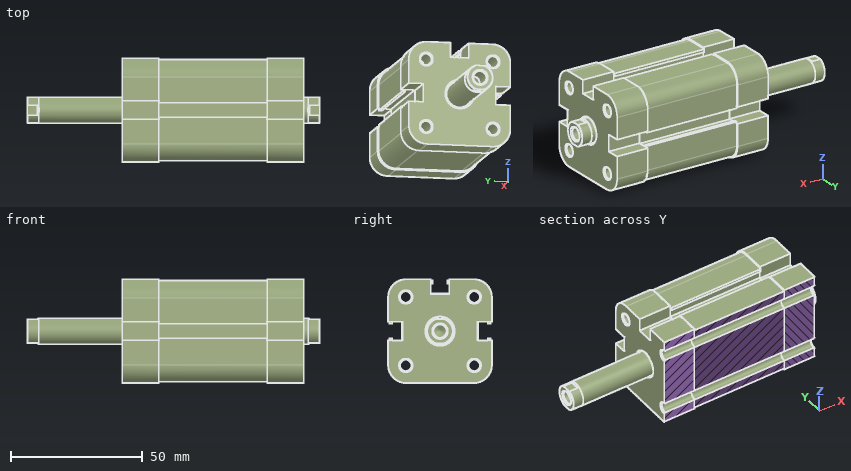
import cadquery as cq
import math

rod_length = 111.0
front_cap_start = 36.0
cap_length = 14.0
barrel_length = 41.1
front_cap_end = front_cap_start + cap_length
rear_cap_start = front_cap_end + barrel_length

cap_side = 39.5
cap_corner_radius = 7.0
barrel_inset = 0.5
barrel_side = cap_side - 2 * barrel_inset
barrel_corner_radius = cap_corner_radius - barrel_inset

slot_angles = (0, 90, -90)
slot_width = 7.0
cap_slot_floor = 14.1
barrel_slot_floor = 14.4
slot_mouth_width = 5.5
lip_thickness = 1.2

bolt_spacing = 26.0
bolt_hole_diameter = 4.3
bolt_hole_chamfer = 0.4

rod_diameter = 10.0
rod_end_diameter = 9.9
rod_end_length = 4.4
rod_end_chamfer = 0.1
bore_chamfer = 0.61
flat_height = 4.5
flat_length = 3.8
ramp_length = 0.8
thread_hole_diameter = 5.0
thread_hole_depth = 12.0
thread_hole_chamfer = 0.5
drill_point_angle = 118.0


def rounded_bar(side, corner_radius, start, length):
    """Square bar along X with rounded long edges."""
    bar = cq.Workplane("YZ", origin=(start, 0, 0)).rect(side, side).extrude(length)
    return bar.edges("|X").fillet(corner_radius)


def slot_cutter(width, floor, roof, start, length):
    """Block along X that clears one slot of the top face, between two heights above the axis."""
    base = cq.Workplane("XY", origin=(start + length / 2, 0, floor))
    return base.rect(length, width).extrude(roof - floor)


def cut_on_slotted_sides(body, cutter):
    """Cuts the top-face slot and its copies on the other slotted sides."""
    for angle in slot_angles:
        body = body.cut(cutter.rotate((0, 0, 0), (1, 0, 0), angle))
    return body


def drill_through(body, start, length):
    """Cuts the rod bore and the four tie-bolt holes."""
    face = cq.Workplane("YZ", origin=(start, 0, 0))
    bore = face.circle(rod_diameter / 2).extrude(length)
    bolts = face.rect(bolt_spacing, bolt_spacing, forConstruction=True).vertices()
    bolt_holes = bolts.circle(bolt_hole_diameter / 2).extrude(length)
    return body.cut(bore).cut(bolt_holes)


def countersink(hole_diameter, chamfer, face_x, inward):
    """45-degree cone that chamfers a hole on the axis; inward is +1 or -1 along X."""
    size = hole_diameter / 2 + chamfer
    cone = cq.Solid.makeCone(size, 0, size, cq.Vector(face_x, 0, 0), cq.Vector(inward, 0, 0))
    return cq.Workplane(cone)


def make_cap(start, outer_x, inward):
    """End cap whose holes are chamfered at outer_x; inward is +1 or -1 along X."""
    cap = rounded_bar(cap_side, cap_corner_radius, start, cap_length)
    cap = cut_on_slotted_sides(cap, slot_cutter(slot_width, cap_slot_floor, cap_side, start, cap_length))
    cap = drill_through(cap, start, cap_length)
    cap = cap.cut(countersink(rod_diameter, bore_chamfer, outer_x, inward))
    bolt_sink = countersink(bolt_hole_diameter, bolt_hole_chamfer, outer_x, inward)
    half = bolt_spacing / 2
    for y in (-half, half):
        for z in (-half, half):
            cap = cap.cut(bolt_sink.translate((0, y, z)))
    return cap


def make_barrel():
    """Cylinder barrel; its slots narrow to a mouth between two lips."""
    start = front_cap_end
    length = barrel_length
    barrel = rounded_bar(barrel_side, barrel_corner_radius, start, length)
    lip_bottom = barrel_side / 2 - lip_thickness
    channel = slot_cutter(slot_width, barrel_slot_floor, lip_bottom, start, length)
    mouth = slot_cutter(slot_mouth_width, barrel_slot_floor, cap_side, start, length)
    barrel = cut_on_slotted_sides(barrel, channel.union(mouth))
    return drill_through(barrel, start, length)


def rod_flat_cutter():
    """Removes the metal above one wrench flat at the front end, with a sloping run-out."""
    top = rod_diameter / 2
    profile = (
        cq.Workplane("XZ")
        .moveTo(0, flat_height)
        .lineTo(flat_length, flat_height)
        .lineTo(flat_length + ramp_length, top)
        .lineTo(0, top)
        .close()
    )
    return profile.extrude(top, both=True)


def thread_hole_cutter():
    """Blind hole in the front end with a chamfered mouth and a drill point."""
    radius = thread_hole_diameter / 2
    point_depth = radius / math.tan(math.radians(drill_point_angle / 2))
    profile = (
        cq.Workplane("XY")
        .lineTo(0, radius + thread_hole_chamfer)
        .lineTo(thread_hole_chamfer, radius)
        .lineTo(thread_hole_depth, radius)
        .lineTo(thread_hole_depth + point_depth, 0)
        .close()
    )
    return profile.revolve(360, (0, 0, 0), (1, 0, 0))


def make_rod():
    """Through rod; both ends carry the same flats and thread hole."""
    rod = cq.Workplane("YZ").circle(rod_end_diameter / 2).extrude(rod_length)
    shank = cq.Workplane("YZ", origin=(rod_end_length, 0, 0)).circle(rod_diameter / 2)
    rod = rod.union(shank.extrude(rod_length - 2 * rod_end_length))
    rod = rod.faces("<X or >X").chamfer(rod_end_chamfer)
    middle = (rod_length / 2, 0, 0)
    flat = rod_flat_cutter()
    end_cutter = flat.union(flat.mirror("XY")).union(thread_hole_cutter())
    return rod.cut(end_cutter).cut(end_cutter.mirror("YZ", middle))


front_cap = make_cap(front_cap_start, front_cap_start, 1)
rear_cap = make_cap(rear_cap_start, rear_cap_start + cap_length, -1)
barrel = make_barrel()
rod = make_rod()

result = cq.Compound.makeCompound([front_cap.val(), rear_cap.val(), barrel.val(), rod.val()])